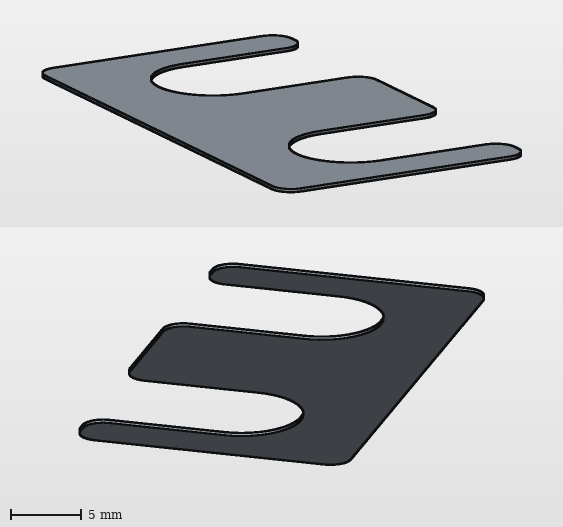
import cadquery as cq

length = 36.0
width = 20.0
thickness = 0.25
corner_radius = 1.5

slot_width = 8.8
slot_spacing = width
slot_radius = slot_width / 2
slot_depth = width / 2


def open_slot(center_x):
    """Cutter with its round end centred on the plate, open at the +Y edge."""
    round_end = cq.Workplane("XY").center(center_x, 0).circle(slot_radius).extrude(thickness)
    straight = (
        cq.Workplane("XY")
        .center(center_x, slot_depth / 2)
        .rect(slot_width, slot_depth)
        .extrude(thickness)
    )
    return round_end.union(straight)


plate = cq.Workplane("XY").rect(length, width).extrude(thickness)
for side in (-1, 1):
    plate = plate.cut(open_slot(side * slot_spacing / 2))

result = plate.edges("|Z and (<Y or >Y)").fillet(corner_radius)